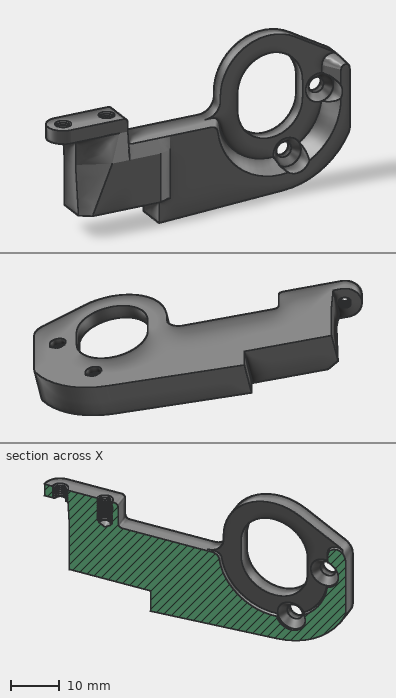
import cadquery as cq
import math

BODY_THICKNESS = 7.0
PLATE_THICKNESS = 3.0
OVERALL_THICKNESS = 8.0
LENGTH = 68.1
HEIGHT = 35.0

RING_RADIUS = 11.5
RING_Y = 51.7
SLOT_RADIUS = 7.5
SLOT_STRAIGHT = 4.0
SLOT_TOP_Z = HEIGHT - RING_RADIUS
SLOT_LOW_Z = SLOT_TOP_Z - SLOT_STRAIGHT
LOWER_RADIUS = 18.0
SHOULDER_ANGLE = math.radians(30)
CORNER_RADIUS = 3.5

ARM_TOP = 19.1
FLANGE_TOP = 25.0
FLANGE_BOTTOM = 22.0
FLANGE_ROOT_Y = 16.7
STEP_RADIUS = 0.95
HEEL_Y = 23.9

BLOCK_BOTTOM = 5.1
BLOCK_BREAK_Z = 16.0
BLOCK_FRONT_Y = 5.6
BLOCK_TOP_FRONT_Y = 5.25
BEVEL_BOTTOM_START_X = 6.4
BEVEL_BREAK_START_X = 5.1
BEVEL_TOP_START_X = 5.9
BEVEL_BOTTOM_END_Y = 8.05
BEVEL_BREAK_END_Y = 12.6
BEVEL_TOP_END_Y = 14.7
BULGE_CREST_Y = 23.8
BULGE_END_Y = 26.5

POCKET_RADIUS = 12.0
POCKET_DRAFT = math.radians(30)
RIM_CAP_Z = 25.9
RIM_EDGE_RADIUS = 1.5
POCKET_OPEN_Y = 34.05
OVERSHOOT = 0.7

MOUNT_HOLES = [(63.1, 21.0), (55.65, 8.0)]
MOUNT_DIAMETER = 3.4
MOUNT_CLEARANCE_DIAMETER = 6.4

TAP_MINOR = 2.5
TAP_MAJOR = 3.4
TAP_PITCH = 0.5
TAP_THROUGH_Y = 3.55
TAP_BLIND_Y = 13.6
TAP_BLIND_DEPTH = 6.0
DRILL_POINT_ANGLE = math.radians(59)


def on_circle(center, radius, angle):
    """Point on a circle, with the angle measured from +Y toward +Z."""
    return (center[0] + radius * math.cos(angle), center[1] + radius * math.sin(angle))


def round_corner(solid, y, z, radius):
    """Fillet the edge running along X through (y, z)."""
    edge = cq.selectors.NearestToPointSelector((BODY_THICKNESS / 2, y, z))
    return solid.edges("|X").edges(edge).fillet(radius)


def make_body():
    """Side outline at full thickness, without the end block."""
    ring = (RING_Y, SLOT_TOP_Z)
    bowl = (RING_Y, SLOT_LOW_Z)
    ring_side = RING_Y - RING_RADIUS

    shoulder_start = on_circle(ring, RING_RADIUS, math.pi / 2 - SHOULDER_ANGLE)
    shoulder_end_z = shoulder_start[1] - (LENGTH - shoulder_start[0]) * math.tan(SHOULDER_ANGLE)

    end_angle = -math.acos((LENGTH - RING_Y) / LOWER_RADIUS)
    bowl_end = on_circle(bowl, LOWER_RADIUS, end_angle)
    heel_distance = math.hypot(HEEL_Y - bowl[0], -bowl[1])
    heel_angle = math.atan2(-bowl[1], HEEL_Y - bowl[0])
    tangent_angle = heel_angle + math.acos(LOWER_RADIUS / heel_distance)
    bowl_mid = on_circle(bowl, LOWER_RADIUS, (end_angle + tangent_angle) / 2)

    body = (
        cq.Workplane("YZ")
        .moveTo(HEEL_Y, 0)
        .lineTo(HEEL_Y, BLOCK_BOTTOM)
        .lineTo(FLANGE_ROOT_Y, BLOCK_BOTTOM)
        .lineTo(FLANGE_ROOT_Y, ARM_TOP)
        .lineTo(ring_side, ARM_TOP)
        .lineTo(ring_side, SLOT_TOP_Z)
        .threePointArc(on_circle(ring, RING_RADIUS, math.radians(120)), shoulder_start)
        .lineTo(LENGTH, shoulder_end_z)
        .lineTo(*bowl_end)
        .threePointArc(bowl_mid, on_circle(bowl, LOWER_RADIUS, tangent_angle))
        .close()
        .extrude(BODY_THICKNESS)
    )
    for y, z in [(ring_side, ARM_TOP), (LENGTH, shoulder_end_z), bowl_end]:
        body = round_corner(body, y, z, CORNER_RADIUS)
    return body


def pocket_section(depth):
    """Closed pocket outline at a depth in X measured from the plate's back face."""
    radius = POCKET_RADIUS + depth * math.tan(POCKET_DRAFT)
    center = (RING_Y, SLOT_LOW_Z)
    wall_y = RING_Y + radius
    cap_radius = (LENGTH - wall_y) / 2

    edge_z = ARM_TOP - RIM_EDGE_RADIUS
    reach = radius + RIM_EDGE_RADIUS
    edge_y = RING_Y - math.sqrt(reach**2 - (edge_z - SLOT_LOW_Z) ** 2)
    touch_angle = math.atan2(edge_z - SLOT_LOW_Z, edge_y - RING_Y)
    edge_mid_angle = (math.pi / 2 + touch_angle + math.pi) / 2
    edge_mid = on_circle((edge_y, edge_z), RIM_EDGE_RADIUS, edge_mid_angle)
    touch = on_circle(center, radius, touch_angle)
    open_top = HEIGHT + OVERSHOOT
    return (
        cq.Workplane("YZ", origin=(PLATE_THICKNESS + depth, 0, 0))
        .moveTo(POCKET_OPEN_Y, ARM_TOP)
        .lineTo(edge_y, ARM_TOP)
        .threePointArc(edge_mid, touch)
        .threePointArc(on_circle(center, radius, touch_angle / 2), (wall_y, SLOT_LOW_Z))
        .lineTo(wall_y, RIM_CAP_Z)
        .threePointArc((wall_y + cap_radius, RIM_CAP_Z + cap_radius), (LENGTH, RIM_CAP_Z))
        .lineTo(LENGTH + OVERSHOOT, RIM_CAP_Z)
        .lineTo(LENGTH + OVERSHOOT, open_top)
        .lineTo(POCKET_OPEN_Y, open_top)
        .close()
        .wire()
        .val()
    )


def make_pocket():
    depths = [0, BODY_THICKNESS - PLATE_THICKNESS]
    return cq.Workplane(cq.Solid.makeLoft([pocket_section(d) for d in depths], True))


def z_loft(sections):
    """Ruled solid through (z, XY points) polygons."""
    wires = [
        cq.Wire.makePolygon([cq.Vector(x, y, z) for x, y in points], close=True)
        for z, points in sections
    ]
    return cq.Workplane(cq.Solid.makeLoft(wires, True))


def block_section(front_y, bevel_x, crest_x, bevel_end_y):
    """End block outline: flat front, then a bevel back to the bulged side."""
    return [
        (0, front_y),
        (bevel_x, front_y),
        (crest_x, bevel_end_y),
        (crest_x, FLANGE_ROOT_Y),
        (0, FLANGE_ROOT_Y),
    ]


def make_end_block():
    bottom = block_section(BLOCK_FRONT_Y, BEVEL_BOTTOM_START_X, OVERALL_THICKNESS, BEVEL_BOTTOM_END_Y)
    middle = block_section(BLOCK_FRONT_Y, BEVEL_BREAK_START_X, OVERALL_THICKNESS, BEVEL_BREAK_END_Y)
    top = block_section(BLOCK_TOP_FRONT_Y, BEVEL_TOP_START_X, BODY_THICKNESS, BEVEL_TOP_END_Y)
    lower = z_loft([(BLOCK_BOTTOM, bottom), (BLOCK_BREAK_Z, middle)])
    upper = z_loft([(BLOCK_BREAK_Z, middle), (FLANGE_BOTTOM, top)])
    return lower.union(upper)


def make_bulge():
    """Shallow swelling that carries the block's side along the arm."""

    def section(crest_x):
        return [
            (0, FLANGE_ROOT_Y),
            (crest_x, FLANGE_ROOT_Y),
            (crest_x, BULGE_CREST_Y),
            (BODY_THICKNESS, BULGE_END_Y),
            (0, BULGE_END_Y),
        ]

    full = section(OVERALL_THICKNESS)
    flush = section(BODY_THICKNESS)
    lower = z_loft([(BLOCK_BOTTOM, full), (BLOCK_BREAK_Z, full)])
    upper = z_loft([(BLOCK_BREAK_Z, full), (ARM_TOP, flush)])
    return lower.union(upper)


def make_flange():
    """Tongue with a round tip, standing on the end block."""
    tip_radius = BODY_THICKNESS / 2
    return (
        cq.Workplane("XY", origin=(0, 0, FLANGE_BOTTOM))
        .moveTo(0, FLANGE_ROOT_Y)
        .lineTo(0, tip_radius)
        .threePointArc((tip_radius, 0), (BODY_THICKNESS, tip_radius))
        .lineTo(BODY_THICKNESS, FLANGE_ROOT_Y)
        .close()
        .extrude(FLANGE_TOP - FLANGE_BOTTOM)
    )


def tapped_hole(y, depth):
    """Cutter with ring grooves for the thread and a conical drill point."""
    minor = TAP_MINOR / 2
    major = TAP_MAJOR / 2
    lead = TAP_PITCH / 2
    points = [(0, 0), (major, 0), (minor, -lead)]
    turns = int((depth - lead) / TAP_PITCH)
    for turn in range(turns):
        z = -lead - turn * TAP_PITCH
        points += [(major, z - lead), (minor, z - TAP_PITCH)]
    points += [(minor, -depth), (0, -depth - minor / math.tan(DRILL_POINT_ANGLE))]
    return (
        cq.Workplane("XZ")
        .polyline(points)
        .close()
        .revolve(360, (0, 0, 0), (0, 1, 0))
        .translate((BODY_THICKNESS / 2, y, FLANGE_TOP))
    )


def mount_hole(y, z):
    """Plain hole, a 45 degree countersink, then clearance through the thick rim."""
    hole = MOUNT_DIAMETER / 2
    clearance = MOUNT_CLEARANCE_DIAMETER / 2
    sink_start = PLATE_THICKNESS - (clearance - hole)
    return (
        cq.Workplane("XY")
        .moveTo(0, 0)
        .lineTo(0, hole)
        .lineTo(sink_start, hole)
        .lineTo(PLATE_THICKNESS, clearance)
        .lineTo(BODY_THICKNESS, clearance)
        .lineTo(BODY_THICKNESS, 0)
        .close()
        .revolve(360, (0, 0, 0), (1, 0, 0))
        .translate((0, y, z))
    )


def make_slot():
    slot_length = SLOT_STRAIGHT + 2 * SLOT_RADIUS
    return (
        cq.Workplane("YZ")
        .center(RING_Y, (SLOT_TOP_Z + SLOT_LOW_Z) / 2)
        .slot2D(slot_length, 2 * SLOT_RADIUS, 90)
        .extrude(BODY_THICKNESS)
    )


result = make_body().cut(make_pocket()).cut(make_slot())
for hole_y, hole_z in MOUNT_HOLES:
    result = result.cut(mount_hole(hole_y, hole_z))

result = result.union(make_end_block()).union(make_bulge()).union(make_flange())
result = round_corner(result, FLANGE_ROOT_Y, FLANGE_TOP, STEP_RADIUS)
result = round_corner(result, FLANGE_ROOT_Y, ARM_TOP, STEP_RADIUS)
result = result.cut(tapped_hole(TAP_THROUGH_Y, FLANGE_TOP - FLANGE_BOTTOM))
result = result.cut(tapped_hole(TAP_BLIND_Y, TAP_BLIND_DEPTH))